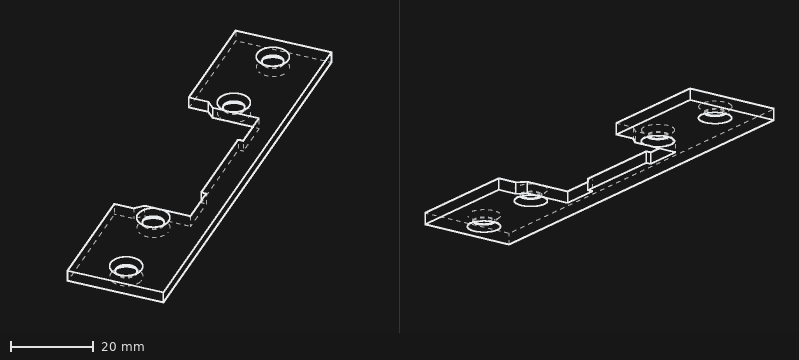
import cadquery as cq

width = 25.0
length = 110.0
thickness = 3.0

mouth_length = 48.7
notch_length = 44.8
chamfer = (mouth_length - notch_length) / 2
chamfer_end = 7.0
web_width = 5.9
pad_length = 24.2
pad_height = 1.3

hole_diameter = 5.3
sink_diameter = 8.0
sink_depth = (sink_diameter - hole_diameter) / 2
outer_spacing = 95.9
inner_spacing = 52.7
inner_offset = -1.5

left = -width / 2
right = width / 2
web_face = right - web_width


def cutout():
    """Stepped opening, drawn around its whole outline."""
    half_outline = [
        (left, mouth_length / 2),
        (left + chamfer_end - chamfer, mouth_length / 2),
        (left + chamfer_end, notch_length / 2),
        (web_face, notch_length / 2),
        (web_face, pad_length / 2),
        (web_face - pad_height, pad_length / 2),
    ]
    mirrored = [(x, -y) for x, y in reversed(half_outline)]
    return cq.Workplane("XY").polyline(half_outline + mirrored).close().extrude(thickness)


def screw_hole():
    """Through hole with a conical sink at both faces and a short land between them."""
    hole_radius = hole_diameter / 2
    sink_radius = sink_diameter / 2
    half_section = [
        (0, 0),
        (sink_radius, 0),
        (hole_radius, sink_depth),
        (hole_radius, thickness - sink_depth),
        (sink_radius, thickness),
        (0, thickness),
    ]
    return cq.Workplane("XZ").polyline(half_section).close().revolve(360, (0, 0), (0, 1))


plate = cq.Workplane("XY").box(width, length, thickness, centered=(True, True, False))
result = plate.cut(cutout())
for side in (-1, 1):
    result = result.cut(screw_hole().translate((0, side * outer_spacing / 2, 0)))
    result = result.cut(screw_hole().translate((inner_offset, side * inner_spacing / 2, 0)))